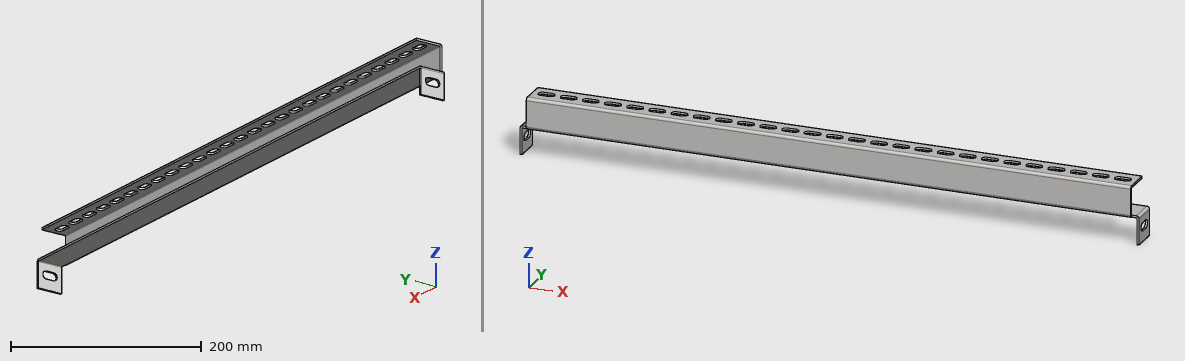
import cadquery as cq

total_length = 698.5
total_depth = 33.0
total_height = 66.0

sheet = 2.5
inner_radius = 0.5
outer_radius = inner_radius + sheet

channel_length = 682.0
channel_height = 35.5

slot_length = 18.0
slot_width = 9.0
slot_count = 27
slot_span = 650.0
slot_pitch = slot_span / (slot_count - 1)
leg_slot_drop = 49.0

back_y = total_depth / 2
top_z = total_height / 2
bottom_z = -total_height / 2
channel_bottom_z = top_z - channel_height
tab_depth = total_depth - outer_radius
slot_y = back_y - tab_depth / 2


def make_channel():
    """C-shaped channel along X with rounded bends on the web side."""
    inner_height = channel_height - 2 * sheet
    outer = (
        cq.Workplane("XY")
        .box(channel_length, total_depth, channel_height)
        .edges("|X and <Y")
        .fillet(outer_radius)
    )
    cavity = (
        cq.Workplane("XY")
        .box(channel_length, total_depth, inner_height)
        .edges("|X and <Y")
        .fillet(inner_radius)
        .translate((0, sheet, 0))
    )
    return outer.cut(cavity).translate((0, 0, top_z - channel_height / 2))


def make_leg_strip():
    """Bottom flange running past the channel and bent down into a leg at each end."""
    strip_top_z = channel_bottom_z + sheet
    strip_height = strip_top_z - bottom_z
    outer = (
        cq.Workplane("XY")
        .box(total_length, tab_depth, strip_height)
        .edges("|Y and >Z")
        .fillet(outer_radius)
    )
    opening = (
        cq.Workplane("XY")
        .box(total_length - 2 * sheet, tab_depth, strip_height)
        .edges("|Y and >Z")
        .fillet(inner_radius)
        .translate((0, 0, -sheet))
    )
    return outer.cut(opening).translate((0, slot_y, bottom_z + strip_height / 2))


def make_top_slots():
    """Row of slots through the top flange."""
    return (
        cq.Workplane("XY", origin=(0, slot_y, top_z - sheet))
        .rarray(slot_pitch, 7, slot_count, 1)
        .slot2D(slot_length, slot_width)
        .extrude(sheet)
    )


def make_leg_slots():
    """Horizontal slot through both legs."""
    return (
        cq.Workplane("YZ", origin=(0, slot_y, top_z - leg_slot_drop))
        .slot2D(slot_length, slot_width)
        .extrude(total_length / 2, both=True)
    )


result = make_channel().union(make_leg_strip()).cut(make_top_slots()).cut(make_leg_slots())